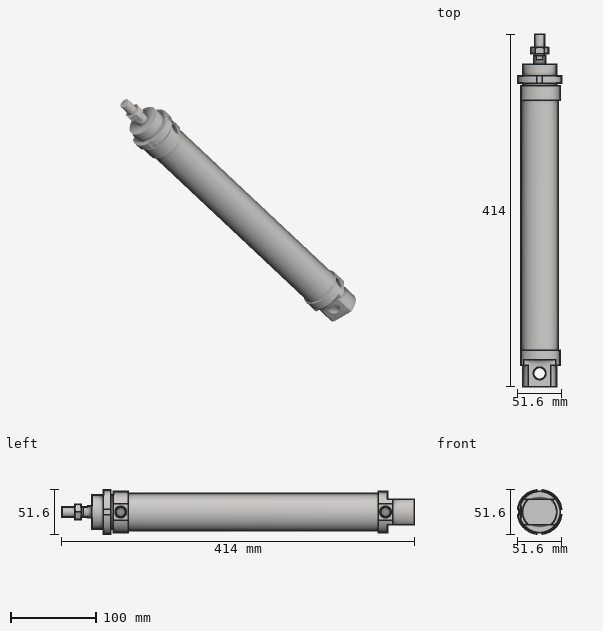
import cadquery as cq
import math

LENGTH = 414.0

CLEVIS_SHOULDER_Y = 31.5
CAP_LENGTH = 17.5
REAR_CAP_START_Y = 25.3
REAR_CAP_END_Y = REAR_CAP_START_Y + CAP_LENGTH
FRONT_CAP_START_Y = 336.0
FRONT_CAP_END_Y = FRONT_CAP_START_Y + CAP_LENGTH
NECK_END_Y = 379.0
RING_NUT_START_Y = 356.5
HEX_NUT_START_Y = 391.2
ROD_SHOULDER_Y = 388.7

TUBE_DIAMETER = 44.5
CAP_DIAMETER = 48.5
NECK_DIAMETER = 40.0
CLEVIS_THICKNESS = 30.2
CLEVIS_HOLE_DIAMETER = 14.0
CLEVIS_HOLE_Y = 15.7

PORT_DIAMETER = 13.2
PORT_BEVEL = 1.0
PORT_DEPTH = 8.3

RING_NUT_DIAMETER = 52.0
RING_NUT_WIDTH = 8.5
RING_SLOT_COUNT = 4
RING_SLOT_WIDTH = 6.2
RING_SLOT_DEPTH = 1.5

ROD_DIAMETER = 14.0
THREAD_DIAMETER = 12.0
ROD_FLAT_LENGTH = 5.0

HEX_ACROSS_FLATS = 18.2
HEX_NUT_WIDTH = 7.5
HEX_BEVEL_LENGTH = 1.0
HEX_BEVEL_INSET = 1.2


def rod_along_y(diameter, start, end):
    """Solid round bar on the Y axis between two stations."""
    return cq.Workplane("XZ", origin=(0, start, 0)).circle(diameter / 2).extrude(start - end)


def box_between(x_range, y_range, z_range):
    """Box spanning the given (low, high) ranges."""
    sizes = [high - low for low, high in (x_range, y_range, z_range)]
    corner = (x_range[0], y_range[0], z_range[0])
    return cq.Workplane("XY").box(*sizes, centered=False).translate(corner)


def make_end_cap(start, end):
    """Cap ring with its -X side cut flat, level with the tube."""
    flat_x = -TUBE_DIAMETER / 2
    keep = box_between((flat_x, CAP_DIAMETER), (start, end), (-CAP_DIAMETER, CAP_DIAMETER))
    return rod_along_y(CAP_DIAMETER, start, end).intersect(keep)


def make_port(start, end):
    """Cutter for a blind round port in the middle of a cap's flat, bevelled at its mouth."""
    origin = (-TUBE_DIAMETER / 2, (start + end) / 2, 0)
    bore_radius = PORT_DIAMETER / 2 - PORT_BEVEL
    bore = cq.Workplane("YZ", origin=origin).circle(bore_radius).extrude(PORT_DEPTH)
    mouth = cq.Solid.makeCone(
        PORT_DIAMETER / 2, bore_radius, PORT_BEVEL, pnt=cq.Vector(*origin), dir=cq.Vector(1, 0, 0)
    )
    return bore.union(cq.Workplane(mouth))


def make_housing():
    """Tube, two end caps, threaded neck and flattened clevis end as one solid."""
    caps = [(REAR_CAP_START_Y, REAR_CAP_END_Y), (FRONT_CAP_START_Y, FRONT_CAP_END_Y)]
    housing = rod_along_y(NECK_DIAMETER, 0, NECK_END_Y)
    housing = housing.union(rod_along_y(TUBE_DIAMETER, REAR_CAP_END_Y, FRONT_CAP_START_Y))
    for start, end in caps:
        housing = housing.union(make_end_cap(start, end))
    for start, end in caps:
        housing = housing.cut(make_port(start, end))

    side = (-CAP_DIAMETER, CAP_DIAMETER)
    along = (0, CLEVIS_SHOULDER_Y)
    half = CLEVIS_THICKNESS / 2
    housing = housing.cut(box_between(side, along, (half, CAP_DIAMETER)))
    housing = housing.cut(box_between(side, along, (-CAP_DIAMETER, -half)))

    hole = cq.Workplane("XY", origin=(0, CLEVIS_HOLE_Y, 0)).circle(CLEVIS_HOLE_DIAMETER / 2)
    return housing.cut(hole.extrude(half, both=True))


def make_ring_nut():
    """Round nut on the neck with spanner slots around its rim."""
    end = RING_NUT_START_Y + RING_NUT_WIDTH
    nut = rod_along_y(RING_NUT_DIAMETER, RING_NUT_START_Y, end)
    nut = nut.cut(rod_along_y(NECK_DIAMETER, RING_NUT_START_Y, end))
    radius = RING_NUT_DIAMETER / 2
    slot = box_between(
        (-RING_SLOT_WIDTH / 2, RING_SLOT_WIDTH / 2),
        (RING_NUT_START_Y, end),
        (radius - RING_SLOT_DEPTH, radius),
    )
    for index in range(RING_SLOT_COUNT):
        nut = nut.cut(slot.rotate((0, 0, 0), (0, 1, 0), index * 360 / RING_SLOT_COUNT))
    return nut


def make_piston_rod():
    """Rod standing on the neck face, with a thinner threaded end and two spanner flats."""
    rod = rod_along_y(ROD_DIAMETER, NECK_END_Y, ROD_SHOULDER_Y)
    rod = rod.union(rod_along_y(THREAD_DIAMETER, ROD_SHOULDER_Y, LENGTH))
    side = (-ROD_DIAMETER, ROD_DIAMETER)
    along = (ROD_SHOULDER_Y - ROD_FLAT_LENGTH, ROD_SHOULDER_Y)
    half = THREAD_DIAMETER / 2
    rod = rod.cut(box_between(side, along, (half, ROD_DIAMETER)))
    return rod.cut(box_between(side, along, (-ROD_DIAMETER, -half)))


def make_hex_nut():
    """Hexagonal nut on the rod thread, corners on the X axis, bevelled towards the tip."""
    end = HEX_NUT_START_Y + HEX_NUT_WIDTH
    across_corners = HEX_ACROSS_FLATS / math.cos(math.pi / 6)
    base = cq.Workplane("XZ", origin=(0, HEX_NUT_START_Y, 0))
    nut = base.polygon(6, across_corners).extrude(-HEX_NUT_WIDTH)
    blank = rod_along_y(across_corners, HEX_NUT_START_Y, end)
    blank = blank.faces(">Y").chamfer(HEX_BEVEL_LENGTH, HEX_BEVEL_INSET)
    return nut.intersect(blank).cut(rod_along_y(THREAD_DIAMETER, HEX_NUT_START_Y, end))


housing = make_housing()
ring_nut = make_ring_nut()
piston_rod = make_piston_rod()
hex_nut = make_hex_nut()

result = cq.Compound.makeCompound([housing.val(), ring_nut.val(), piston_rod.val(), hex_nut.val()])